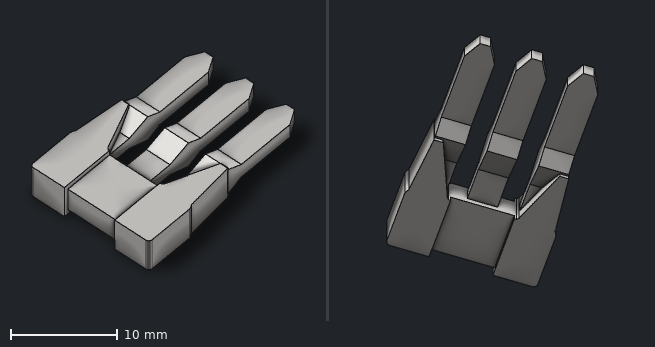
import cadquery as cq

total_length = 22.77
total_width = 15.0
housing_height = 4.0

bridge_half_width = 3.17
bridge_height = 2.8
bridge_bottom = 0.5
bridge_top = 6.45

half_width = total_width / 2
arm_top = 12.14
arm_tip_inner = 5.78
arm_tip_outer = 6.7
arm_root_inner = 3.55
arm_root_height = 6.63
root_bevel_inner = 3.37
shoulder_inner = 7.26
shoulder_bottom = 5.83
shoulder_top = 6.3
corner_radius = 0.45

blade_pitch = 5.12
blade_width = 3.0
blade_thickness = 1.75
tip_width = 1.05
tip_length = 1.78
root_thickness = 1.4
bulge_thickness = 3.2
bulge_bottom = 9.75
bulge_peak = 12.36
bulge_top = 14.1


def right_housing_side():
    """Tapered arm on a block with one rounded outer bottom corner."""
    outline = [
        (bridge_half_width, 0),
        (half_width, 0),
        (half_width, shoulder_bottom),
        (shoulder_inner, shoulder_top),
        (arm_tip_outer, arm_top),
        (arm_tip_inner, arm_top),
        (arm_root_inner, arm_root_height),
        (root_bevel_inner, bridge_top),
        (bridge_half_width, bridge_top),
    ]
    side = cq.Workplane("XY").polyline(outline).close().extrude(housing_height / 2, both=True)
    return side.edges("|Z").edges(">X").edges("<Y").fillet(corner_radius)


def bridge():
    return cq.Workplane("XY").box(
        2 * bridge_half_width,
        bridge_top - bridge_bottom,
        bridge_height,
        centered=(True, False, True),
    ).translate((0, bridge_bottom, 0))


def blade(x_centre):
    """Pointed blade with a wedge-shaped bulge on both faces, rooted in the bridge."""
    root = (bridge_bottom + bridge_top) / 2
    half_thickness = blade_thickness / 2
    upper_profile = [
        (root, root_thickness / 2),
        (bulge_bottom, root_thickness / 2),
        (bulge_peak, bulge_thickness / 2),
        (bulge_top, half_thickness),
        (total_length, half_thickness),
    ]
    lower_profile = [(y, -z) for y, z in reversed(upper_profile)]
    body = (
        cq.Workplane("YZ")
        .polyline(upper_profile + lower_profile)
        .close()
        .extrude(blade_width / 2, both=True)
    )
    right_edge = [
        (blade_width / 2, root),
        (blade_width / 2, total_length - tip_length),
        (tip_width / 2, total_length),
    ]
    left_edge = [(-x, y) for x, y in reversed(right_edge)]
    pointed_outline = (
        cq.Workplane("XY")
        .polyline(right_edge + left_edge)
        .close()
        .extrude(housing_height / 2, both=True)
    )
    return body.intersect(pointed_outline).translate((x_centre, 0, 0))


right_side = right_housing_side()
result = bridge().union(right_side).union(right_side.mirror("YZ"))
for position in (-1, 0, 1):
    result = result.union(blade(position * blade_pitch))